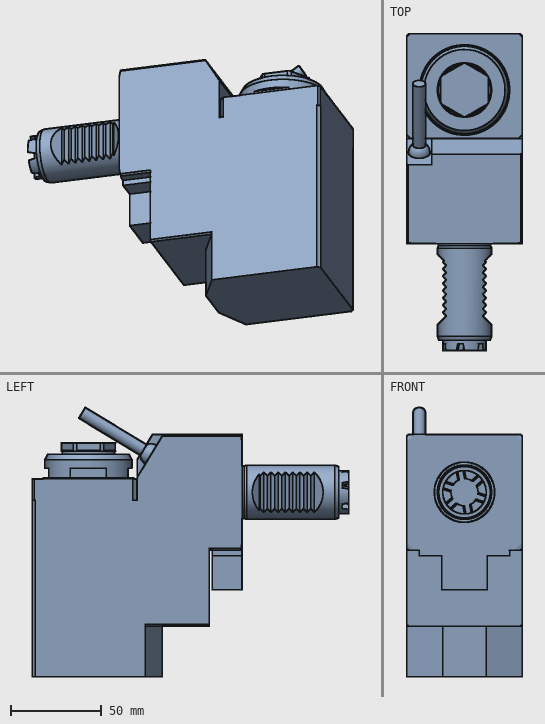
import cadquery as cq
import math


WIDTH = 64.0
HALF_WIDTH = WIDTH / 2
BODY_BACK_Y = 116.0
BODY_BOTTOM_Z = -102.0
HEAD_TOP_Z = HALF_WIDTH
FLANGE_BACK_Y = 18.0
HEAD_BOTTOM_Z = -74.0
FOOT_FRONT_Y = 44.0
FOOT_SIDE_Y = 53.6
FOOT_NOSE_HALF_WIDTH = 12.0
NECK_BACK_Y = 57.9
EDGE_CHAMFER = 1.0
BACK_EDGE_CHAMFER = 1.7
CORNER_CUT = 4.2
CORNER_CUT_DEPTH = 0.6

SLOPE_ANGLE = 58.8
SLOPE_FOOT_Z = 18.0
RECESS_FOOT_Z = 8.2
RECESS_INNER_X = -18.2

COVER_FRONT_Y = 58.1
COVER_TOP_Z = 7.4
COVER_BOTTOM_Z = -4.3
COVER_BACK_CHAMFER = 1.3
COVER_FRONT_CHAMFER = 2.2

KEY_BACK_Y = 16.5
KEY_STEP_WIDTH = 50.0
KEY_STEP_BOTTOM_Z = -35.0
KEY_WIDTH = 25.0
KEY_BOTTOM_Z = -54.0

SHANK_DIAMETER = 30.0
SHANK_LENGTH = 53.5
SHANK_TIP_CHAMFER_LENGTH = 2.3
SHANK_TIP_DIAMETER = 28.4
NECK_DIAMETER = 29.1
NECK_LENGTH = 1.2
NECK_END_Y = -2.5
SEAL_GROOVE_DIAMETER = 33.4
SEAL_GROOVE_DEPTH = 1.5
SEAL_SECTION = 1.7
SEAL_RADIUS = 15.75
SEAL_Y = 0.75
RACK_PITCH = 4.0
RACK_GROOVES = 8
RACK_FIRST_Y = -12.0
RACK_ROOT_X = 10.2
RACK_CREST_X = 12.0
RACK_ENTRY_Y = -9.4
RACK_ENTRY_X = 11.3

COUPLING_DIAMETER = 24.0
COUPLING_BASE_Y = -55.4
COUPLING_END_Y = -59.06
COUPLING_BORE = 15.0
CLAW_COUNT = 6
CLAW_GAP_ANGLE = 41.0
CLAW_GAP_ROOT = 3.0
CLAW_GAP_MOUTH = 4.6

NUT_Y = 84.9
NUT_SEAT_DIAMETER = 50.0
NUT_SEAT_TOP_Z = 8.0
NUT_DIAMETER = 48.3
NUT_CHAMFER_Z = 17.9
NUT_TOP_Z = 21.1
NUT_TOP_DIAMETER = 44.8
NUT_FLAT_SPAN = 44.0
NUT_FLAT_TOP_Z = 13.2
HEX_COLLAR_DIAMETER = 29.1
HEX_COLLAR_TOP_Z = 22.6
HEX_RIM_HEIGHT = 0.5
HEX_ACROSS_FLATS = 27.0
HEX_TOP_Z = 27.4
HEX_CORNER_DIAMETER = 30.0
HEX_TOP_CHAMFER = 0.4

PIPE_X = -25.0
PIPE_DIAMETER = 7.0
PIPE_LENGTH = 44.6
PIPE_FOOT_Z = 20.8
PIPE_BALL_DIAMETER = 12.0


def block(x_range, y_range, z_range):
    """Axis-aligned box given by its limits."""
    size = [high - low for low, high in (x_range, y_range, z_range)]
    corner = (x_range[0], y_range[0], z_range[0])
    return cq.Workplane("XY").box(*size, centered=False).translate(corner)


def slope_y(foot_z, z):
    """Y of a rear slope that starts on the neck wall at foot_z."""
    return NECK_BACK_Y - (z - foot_z) / math.tan(math.radians(SLOPE_ANGLE))


def turned(profile, axis_y):
    """Solid of revolution about the vertical line at Y = axis_y, from (radius, z) points."""
    solid = cq.Workplane("XZ").polyline(profile).close().revolve(360, (0, 0, 0), (0, 1, 0))
    return solid.translate((0, axis_y, 0))


def slope_cutter(foot_z, x_end):
    """Wedge above a rear slope, from the -X side of the head to x_end."""
    top_y = slope_y(foot_z, HEAD_TOP_Z)
    wedge = cq.Workplane("YZ", origin=(-HALF_WIDTH, 0, 0)).polyline(
        [(NECK_BACK_Y, foot_z), (NECK_BACK_Y, HEAD_TOP_Z), (top_y, HEAD_TOP_Z)]
    )
    return wedge.close().extrude(x_end + HALF_WIDTH)


def flange_corner_cutter(side_x, side_z):
    """Tilted wedge that bevels one front corner of the flange."""
    tip = cq.Vector(side_x * HALF_WIDTH, 0, side_z * HALF_WIDTH)
    along_x = cq.Vector(-side_x * CORNER_CUT, 0, 0)
    along_z = cq.Vector(0, 0, -side_z * CORNER_CUT)
    back = cq.Vector(0, CORNER_CUT_DEPTH * CORNER_CUT / (CORNER_CUT - EDGE_CHAMFER), 0)
    points = [tip, tip + along_x, tip + along_z, tip + back]
    faces = []
    for skipped in points:
        triangle = [point for point in points if point is not skipped]
        wire = cq.Wire.makePolygon(triangle, close=True)
        faces.append(cq.Face.makeFromWires(wire))
    return cq.Workplane(cq.Solid.makeSolid(cq.Shell.makeShell(faces)))


def make_head():
    """Front flange and neck, with sloping rear face, pipe recess, seal groove and bevelled corners."""
    flange = block((-HALF_WIDTH, HALF_WIDTH), (0, FLANGE_BACK_Y), (-HALF_WIDTH, HEAD_TOP_Z))
    flange = flange.edges("|Y").chamfer(EDGE_CHAMFER)
    for side_x in (-1, 1):
        for side_z in (-1, 1):
            flange = flange.cut(flange_corner_cutter(side_x, side_z))

    neck = block((-HALF_WIDTH, HALF_WIDTH), (FLANGE_BACK_Y, NECK_BACK_Y), (HEAD_BOTTOM_Z, HEAD_TOP_Z))
    neck = neck.edges("|Y").chamfer(EDGE_CHAMFER)
    neck = neck.cut(slope_cutter(SLOPE_FOOT_Z, HALF_WIDTH))
    neck = neck.cut(slope_cutter(RECESS_FOOT_Z, RECESS_INNER_X))

    seal_groove = cq.Workplane("XZ").circle(SEAL_GROOVE_DIAMETER / 2).extrude(-SEAL_GROOVE_DEPTH)
    return flange.union(neck).cut(seal_groove)


def make_housing():
    """Rear housing with the tapered foot, below the cover plate."""
    outline = [
        (-HALF_WIDTH, BODY_BACK_Y),
        (-HALF_WIDTH, FOOT_SIDE_Y),
        (-FOOT_NOSE_HALF_WIDTH, FOOT_FRONT_Y),
        (FOOT_NOSE_HALF_WIDTH, FOOT_FRONT_Y),
        (HALF_WIDTH, FOOT_SIDE_Y),
        (HALF_WIDTH, BODY_BACK_Y),
    ]
    housing = cq.Workplane("XY", origin=(0, 0, BODY_BOTTOM_Z)).polyline(outline).close()
    housing = housing.extrude(COVER_BOTTOM_Z - BODY_BOTTOM_Z)
    return housing.edges("|Z and >Y").chamfer(BACK_EDGE_CHAMFER)


def make_cover():
    """Plate that closes the top of the housing."""
    cover = block((-HALF_WIDTH, HALF_WIDTH), (COVER_FRONT_Y, BODY_BACK_Y), (COVER_BOTTOM_Z, COVER_TOP_Z))
    cover = cover.edges("|Z and >Y").chamfer(COVER_BACK_CHAMFER)
    return cover.edges("|Z and <Y").chamfer(COVER_FRONT_CHAMFER)


def make_key():
    """Stepped alignment key below the flange."""
    step = block(
        (-KEY_STEP_WIDTH / 2, KEY_STEP_WIDTH / 2), (0, KEY_BACK_Y), (KEY_STEP_BOTTOM_Z, -HALF_WIDTH)
    )
    tenon = block((-KEY_WIDTH / 2, KEY_WIDTH / 2), (0, KEY_BACK_Y), (KEY_BOTTOM_Z, -HALF_WIDTH))
    return step.union(tenon)


def rack_cutter():
    """Saw-tooth cutter that forms the rack on the +X side of the shank."""
    outer_x = SHANK_DIAMETER / 2
    last_y = RACK_FIRST_Y - (RACK_GROOVES - 1) * RACK_PITCH
    points = [
        (outer_x, RACK_ENTRY_Y + outer_x - RACK_ENTRY_X),
        (RACK_ENTRY_X, RACK_ENTRY_Y),
        (RACK_CREST_X, RACK_FIRST_Y + RACK_PITCH / 2),
    ]
    for groove in range(RACK_GROOVES):
        root_y = RACK_FIRST_Y - groove * RACK_PITCH
        points.append((RACK_ROOT_X, root_y))
        if groove < RACK_GROOVES - 1:
            points.append((RACK_CREST_X, root_y - RACK_PITCH / 2))
    points.append((outer_x, last_y - (outer_x - RACK_ROOT_X)))
    cutter = cq.Workplane("XY", origin=(0, 0, -SHANK_DIAMETER / 2)).polyline(points).close()
    return cutter.extrude(SHANK_DIAMETER)


def make_shank():
    """Cylindrical shank with a relieved neck, a chamfered tip and a rack on both sides."""
    radius = SHANK_DIAMETER / 2
    profile = [
        (0, SEAL_GROOVE_DEPTH),
        (NECK_DIAMETER / 2, SEAL_GROOVE_DEPTH),
        (NECK_DIAMETER / 2, -NECK_LENGTH),
        (radius, NECK_END_Y),
        (radius, -SHANK_LENGTH + SHANK_TIP_CHAMFER_LENGTH),
        (SHANK_TIP_DIAMETER / 2, -SHANK_LENGTH),
        (0, -SHANK_LENGTH),
    ]
    shank = cq.Workplane("XY").polyline(profile).close().revolve(360, (0, 0, 0), (0, 1, 0))
    cutter = rack_cutter()
    return shank.cut(cutter).cut(cutter.mirror("YZ"))


def make_coupling():
    """Round end disc carrying a ring of claws parted by tapered gaps."""
    disc = cq.Workplane("XZ", origin=(0, -SHANK_LENGTH, 0)).circle(COUPLING_DIAMETER / 2)
    disc = disc.extrude(-COUPLING_END_Y - SHANK_LENGTH)
    claw_height = COUPLING_BASE_Y - COUPLING_END_Y
    disc = disc.cut(
        cq.Workplane("XZ", origin=(0, COUPLING_BASE_Y, 0)).circle(COUPLING_BORE / 2).extrude(claw_height)
    )
    gap = cq.Workplane("XY").polyline(
        [
            (-CLAW_GAP_ROOT / 2, COUPLING_BASE_Y),
            (CLAW_GAP_ROOT / 2, COUPLING_BASE_Y),
            (CLAW_GAP_MOUTH / 2, COUPLING_END_Y),
            (-CLAW_GAP_MOUTH / 2, COUPLING_END_Y),
        ]
    )
    gap = gap.close().extrude(COUPLING_DIAMETER)
    for index in range(CLAW_COUNT):
        turn = 90 - CLAW_GAP_ANGLE - index * 360 / CLAW_COUNT
        disc = disc.cut(gap.rotate((0, 0, 0), (0, 1, 0), turn))
    return disc


def make_nut():
    """Round clamping nut with four spanner flats, standing on the cover plate."""
    seat_radius = NUT_SEAT_DIAMETER / 2
    nut_radius = NUT_DIAMETER / 2
    profile = [
        (0, COVER_TOP_Z),
        (seat_radius, COVER_TOP_Z),
        (seat_radius, NUT_SEAT_TOP_Z),
        (nut_radius, NUT_SEAT_TOP_Z),
        (nut_radius, NUT_CHAMFER_Z),
        (NUT_TOP_DIAMETER / 2, NUT_TOP_Z),
        (0, NUT_TOP_Z),
    ]
    nut = turned(profile, NUT_Y)
    flat = block(
        (NUT_FLAT_SPAN / 2, nut_radius), (-nut_radius, nut_radius), (NUT_SEAT_TOP_Z, NUT_FLAT_TOP_Z)
    )
    for angle in (0, 90, 180, 270):
        nut = nut.cut(flat.rotate((0, 0, 0), (0, 0, 1), angle).translate((0, NUT_Y, 0)))
    return nut


def make_hexagon():
    """Hexagon milled from a round head, with a thin rim below the flats, on a short collar."""
    collar = cq.Workplane("XY", origin=(0, NUT_Y, NUT_TOP_Z)).circle(HEX_COLLAR_DIAMETER / 2)
    collar = collar.extrude(HEX_COLLAR_TOP_Z - NUT_TOP_Z)

    height = HEX_TOP_Z - HEX_COLLAR_TOP_Z
    round_head = cq.Workplane("XY", origin=(0, NUT_Y, HEX_COLLAR_TOP_Z)).circle(HEX_CORNER_DIAMETER / 2)
    round_head = round_head.extrude(height)
    rim = round_head.intersect(round_head.translate((0, 0, HEX_RIM_HEIGHT - height)))

    across_corners = HEX_ACROSS_FLATS / math.cos(math.pi / 6)
    prism = cq.Workplane("XY", origin=(0, NUT_Y, HEX_COLLAR_TOP_Z)).polygon(6, across_corners)
    prism = prism.extrude(height).rotate((0, NUT_Y, 0), (0, NUT_Y, 1), 90)
    prism = prism.faces(">Z").chamfer(HEX_TOP_CHAMFER)
    return collar.union(rim).union(prism.intersect(round_head))


def make_pipe():
    """Coolant pipe rising square from the recess slope out of a half-sunk ball."""
    slope = math.radians(SLOPE_ANGLE)
    foot = (PIPE_X, slope_y(RECESS_FOOT_Z, PIPE_FOOT_Z), PIPE_FOOT_Z)
    direction = (0, math.sin(slope), math.cos(slope))
    pipe = cq.Workplane(cq.Plane(origin=foot, xDir=(1, 0, 0), normal=direction))
    pipe = pipe.circle(PIPE_DIAMETER / 2).extrude(PIPE_LENGTH)
    ball = cq.Workplane("XY").sphere(PIPE_BALL_DIAMETER / 2).translate(foot)
    return pipe.union(ball)


def make_seal():
    """Sealing ring lying in the groove around the shank."""
    section = cq.Workplane("XY").center(SEAL_RADIUS, SEAL_Y).circle(SEAL_SECTION / 2)
    return section.revolve(360, (-SEAL_RADIUS, 0, 0), (-SEAL_RADIUS, 1, 0))


result = make_head()
pieces = [
    make_housing(),
    make_cover(),
    make_key(),
    make_shank(),
    make_seal(),
    make_coupling(),
    make_nut(),
    make_hexagon(),
    make_pipe(),
]
for piece in pieces:
    result = result.union(piece)